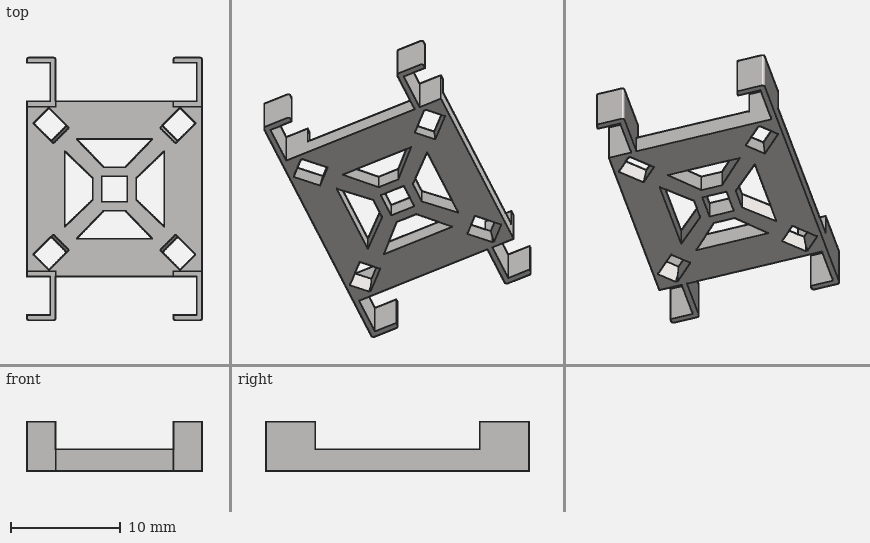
import cadquery as cq

plate_side = 16.0
plate_height = 2.02

overall_length = 24.0
clip_height = 4.5
clip_width = 2.65
clip_wall = 0.5
clip_edge_radius = 0.25

window_outer = 4.54
window_inner = 2.0
window_outer_half_width = 3.43
window_inner_half_width = 0.98
centre_hole_side = 2.3

slot_inner = 6.9
slot_outer = 9.45
slot_width = 2.0
slot_lean = 0.3


def make_plate():
    return cq.Workplane("XY").box(
        plate_side, plate_side, plate_height, centered=(True, True, False)
    )


def make_clip(x_left):
    """C-shaped clip on the +Y edge, open towards -X."""
    x_right = x_left + clip_width
    x_back = x_right - clip_wall
    y_tip = overall_length / 2
    y_edge = plate_side / 2
    y_root = y_edge - clip_wall
    outline = [
        (x_left, y_root),
        (x_right, y_root),
        (x_right, y_tip),
        (x_left, y_tip),
        (x_left, y_tip - clip_wall),
        (x_back, y_tip - clip_wall),
        (x_back, y_edge),
        (x_left, y_edge),
    ]
    clip = cq.Workplane("XY").polyline(outline).close().extrude(clip_height)
    return clip.faces(">Y").edges("|Z").fillet(clip_edge_radius)


def make_window():
    """Cutter for the window on the +Y side of the centre hole."""
    outline = [
        (-window_outer_half_width, window_outer),
        (window_outer_half_width, window_outer),
        (window_inner_half_width, window_inner),
        (-window_inner_half_width, window_inner),
    ]
    return cq.Workplane("XY").polyline(outline).close().extrude(plate_height)


def make_slot():
    """Cutter for a leaning slot, with its length along +X."""
    profile = [
        (slot_inner, plate_height),
        (slot_outer, plate_height),
        (slot_outer + slot_lean, 0),
        (slot_inner + slot_lean, 0),
    ]
    return cq.Workplane("XZ").polyline(profile).close().extrude(slot_width / 2, both=True)


result = make_plate()

result = result.cut(
    cq.Workplane("XY").rect(centre_hole_side, centre_hole_side).extrude(plate_height)
)
for quarter in range(4):
    turn = 90 * quarter
    result = result.cut(make_window().rotate((0, 0, 0), (0, 0, 1), turn))
    result = result.cut(make_slot().rotate((0, 0, 0), (0, 0, 1), turn + 45))

for x_left in (-plate_side / 2, plate_side / 2 - clip_width):
    clip = make_clip(x_left)
    result = result.union(clip).union(clip.mirror("XZ"))